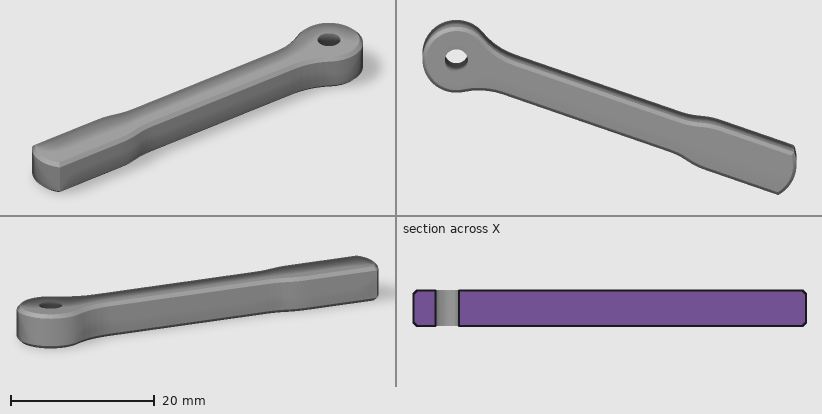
import cadquery as cq
import math

length = 54.7
thickness = 5.0
head_radius = 4.735
hole_diameter = 3.25
neck_half_width = 2.5
grip_half_width = 3.3
blend_radius = 10.0
tip_radius = 5.0
grip_length = 12.15
edge_chamfer = 0.5

blend_x = neck_half_width + blend_radius
centre_distance = head_radius + blend_radius
blend_y = -math.sqrt(centre_distance**2 - blend_x**2)
head_share = head_radius / centre_distance
head_tangent = (blend_x * head_share, blend_y * head_share)
neck_top = (neck_half_width, blend_y)

half_step = (grip_half_width - neck_half_width) / 2
half_rise = math.sqrt(blend_radius**2 - (blend_radius - half_step)**2)
tip_y = head_radius - length
grip_top = (grip_half_width, tip_y + grip_length)
widening_middle = (grip_half_width - half_step, grip_top[1] + half_rise)
neck_bottom = (neck_half_width, widening_middle[1] + half_rise)

tip_rise = tip_radius - math.sqrt(tip_radius**2 - grip_half_width**2)
grip_corner = (grip_half_width, tip_y + tip_rise)


def mirrored(point):
    """Return the matching point on the other side of the lever."""
    return (-point[0], point[1])


def lever_outline():
    """Return the closed lever outline, starting at the head's right tangent."""
    return (
        cq.Workplane("XY")
        .moveTo(*head_tangent)
        .radiusArc(neck_top, -blend_radius)
        .lineTo(*neck_bottom)
        .radiusArc(widening_middle, -blend_radius)
        .radiusArc(grip_top, blend_radius)
        .lineTo(*grip_corner)
        .threePointArc((0, tip_y), mirrored(grip_corner))
        .lineTo(*mirrored(grip_top))
        .radiusArc(mirrored(widening_middle), blend_radius)
        .radiusArc(mirrored(neck_bottom), -blend_radius)
        .lineTo(*mirrored(neck_top))
        .radiusArc(mirrored(head_tangent), -blend_radius)
        .threePointArc((0, head_radius), head_tangent)
        .close()
    )


lever = lever_outline().extrude(thickness).faces("<Z or >Z").edges().chamfer(edge_chamfer)

hole = cq.Workplane("XY").circle(hole_diameter / 2).extrude(thickness)
result = lever.cut(hole)